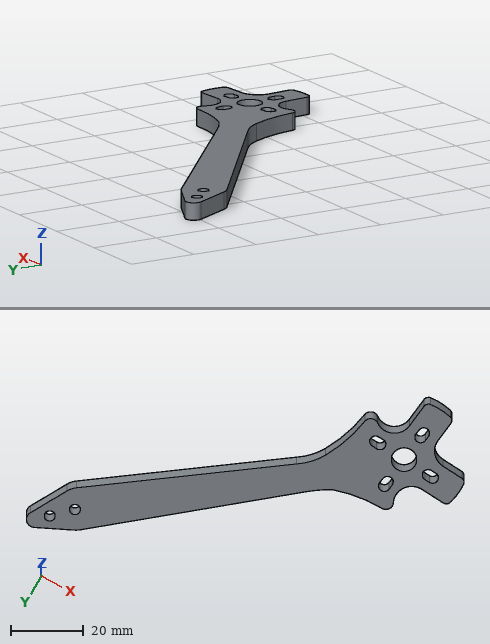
import cadquery as cq
import math

THICKNESS = 5.0
HUB_TURN = 5.0

LOBE_REACH = 18.0
LOBE_HALF_WIDTH = 4.5
LOBE_CORNER_RADIUS = 1.5
NOTCH_RADIUS = 5.0
INNER_NOTCH_RADIUS = 5.5
SIDE_NOTCH_X = 9.1

EAR_RADIUS = 2.1
EAR_FROM_NOTCH_ANGLE = 147.4
EAR_FLANK_ANGLE = 85.0

FLARE_RADIUS = 39.9
FLARE_JOINT = (-11.2, 18.6)
UPPER_ARM_END = (-18.8, 21.7)
LOWER_ARM_END = (-25.1, 15.7)
UPPER_SHOULDER = (-67.8, 62.7)
LOWER_SHOULDER = (-75.4, 52.6)
UPPER_SHOULDER_RADIUS = 8.0
LOWER_SHOULDER_RADIUS = 6.0

TIP_CENTER = (-79.5, 65.6)
TIP_RADIUS = 2.4
TIP_AXIS_ANGLE = 135.0

BORE_DIAMETER = 7.0
SLOT_CIRCLE_RADIUS = 8.8
SLOT_LENGTH = 4.7
SLOT_WIDTH = 3.2
SLOT_COUNT = 4
TIP_HOLES = [(-76.5, 62.7), (-71.4, 57.6)]
TIP_HOLE_DIAMETER = 3.0


def offset(point, distance, angle):
    """Point at a distance and an angle in degrees from another point."""
    a = math.radians(angle)
    return (point[0] + distance * math.cos(a), point[1] + distance * math.sin(a))


def hub(point):
    """Turn a hub point into the part's axes."""
    return offset((0, 0), math.hypot(*point), math.degrees(math.atan2(point[1], point[0])) + HUB_TURN)


def mirrored(point):
    """Mirror a local hub point across the hub's axis of symmetry."""
    return (-point[1], -point[0])


def bearing(start, end):
    return math.degrees(math.atan2(end[1] - start[1], end[0] - start[0]))


def tip_tangent(shoulder, side):
    """Where the line from a shoulder touches the tip circle; side is +1 or -1."""
    distance = math.dist(TIP_CENTER, shoulder)
    swing = math.degrees(math.acos(TIP_RADIUS / distance))
    return offset(TIP_CENTER, TIP_RADIUS, bearing(TIP_CENTER, shoulder) + side * swing)


def rounded_corner(before, corner, after, radius):
    """Start, middle and end of the arc that rounds a corner."""
    to_before = bearing(corner, before)
    to_after = bearing(corner, after)
    opening = (to_after - to_before + 180) % 360 - 180
    half = math.radians(abs(opening) / 2)
    setback = radius / math.tan(half)
    middle = offset(corner, radius / math.sin(half) - radius, to_before + opening / 2)
    return offset(corner, setback, to_before), middle, offset(corner, setback, to_after)


def half_hub_arcs():
    """Arcs (start, middle, end) from the ear to the notch between the lobes, in local hub axes."""
    notch = (SIDE_NOTCH_X, LOBE_HALF_WIDTH + NOTCH_RADIUS)
    ear = offset(notch, NOTCH_RADIUS + EAR_RADIUS, EAR_FROM_NOTCH_ANGLE)
    ear_end_angle = EAR_FROM_NOTCH_ANGLE - 180
    ear_arc = [
        offset(ear, EAR_RADIUS, angle)
        for angle in (EAR_FLANK_ANGLE, (EAR_FLANK_ANGLE + ear_end_angle) / 2, ear_end_angle)
    ]
    notch_arc = [
        offset(notch, NOTCH_RADIUS, angle)
        for angle in (EAR_FROM_NOTCH_ANGLE, (EAR_FROM_NOTCH_ANGLE + 270) / 2, 270)
    ]

    corner_y = LOBE_HALF_WIDTH - LOBE_CORNER_RADIUS
    corner_x = math.sqrt((LOBE_REACH - LOBE_CORNER_RADIUS) ** 2 - corner_y**2)
    end_angle = math.degrees(math.atan2(corner_y, corner_x))
    upper_corner = [
        offset((corner_x, corner_y), LOBE_CORNER_RADIUS, angle)
        for angle in (90, (90 + end_angle) / 2, end_angle)
    ]
    lower_corner = [(x, -y) for x, y in reversed(upper_corner)]
    lobe_end = [upper_corner[-1], (LOBE_REACH, 0), lower_corner[0]]
    return [ear_arc, notch_arc, upper_corner, lobe_end, lower_corner]


def inner_notch_arc():
    """Arc of the notch between the two lobes, in local hub axes."""
    center = LOBE_HALF_WIDTH + INNER_NOTCH_RADIUS
    return [offset((center, -center), INNER_NOTCH_RADIUS, angle) for angle in (90, 135, 180)]


def make_plate():
    upper_tip = tip_tangent(UPPER_SHOULDER, 1)
    lower_tip = tip_tangent(LOWER_SHOULDER, -1)
    upper_shoulder = rounded_corner(upper_tip, UPPER_SHOULDER, UPPER_ARM_END, UPPER_SHOULDER_RADIUS)
    lower_shoulder = rounded_corner(LOWER_ARM_END, LOWER_SHOULDER, lower_tip, LOWER_SHOULDER_RADIUS)

    right_arcs = half_hub_arcs()
    left_arcs = [[mirrored(p) for p in reversed(arc)] for arc in reversed(right_arcs)]
    hub_arcs = right_arcs + [inner_notch_arc()] + left_arcs

    outline = cq.Workplane("XY").moveTo(*upper_shoulder[-1]).lineTo(*UPPER_ARM_END)
    outline = outline.tangentArcPoint(hub(FLARE_JOINT), relative=False)
    outline = outline.radiusArc(hub(right_arcs[0][0]), -FLARE_RADIUS)
    current = right_arcs[0][0]
    for start, middle, end in hub_arcs:
        if math.dist(current, start) > 0.001:
            outline = outline.lineTo(*hub(start))
        outline = outline.threePointArc(hub(middle), hub(end))
        current = end

    outline = outline.radiusArc(hub(mirrored(FLARE_JOINT)), -FLARE_RADIUS)
    outline = outline.tangentArcPoint(LOWER_ARM_END, relative=False)
    outline = outline.lineTo(*lower_shoulder[0]).threePointArc(*lower_shoulder[1:])
    outline = outline.lineTo(*lower_tip)
    outline = outline.threePointArc(offset(TIP_CENTER, TIP_RADIUS, TIP_AXIS_ANGLE), upper_tip)
    outline = outline.lineTo(*upper_shoulder[0]).threePointArc(*upper_shoulder[1:])
    return outline.close().extrude(THICKNESS)


def cut_holes(plate):
    plate = plate.cut(cq.Workplane("XY").circle(BORE_DIAMETER / 2).extrude(THICKNESS))
    slots = (
        cq.Workplane("XY")
        .polarArray(SLOT_CIRCLE_RADIUS, HUB_TURN, 360, SLOT_COUNT)
        .slot2D(SLOT_LENGTH, SLOT_WIDTH)
        .extrude(THICKNESS)
    )
    tip_holes = cq.Workplane("XY").pushPoints(TIP_HOLES).circle(TIP_HOLE_DIAMETER / 2).extrude(THICKNESS)
    return plate.cut(slots).cut(tip_holes)


result = cut_holes(make_plate())